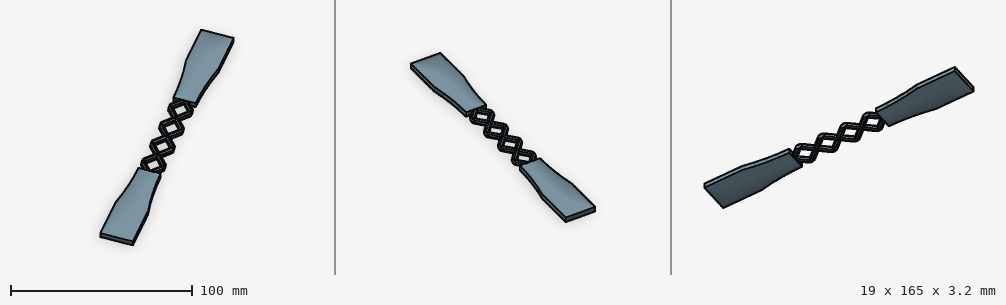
import cadquery as cq
import math

overall_length = 165.0
thickness = 3.2
grip_width = 19.0
neck_width = 13.0
grip_spacing = 115.0
lattice_gap = 57.0
shoulder_facets = 4

cell_count = 4
cell_length = 14.82
strut_sides = 8
strut_diameter = thickness

half_length = overall_length / 2
half_grip = grip_width / 2
half_neck = neck_width / 2
half_gap = lattice_gap / 2

shoulder_length = grip_spacing / 2 - half_gap
shoulder_rise = half_grip - half_neck
shoulder_radius = (shoulder_length**2 + shoulder_rise**2) / (2 * shoulder_rise)
shoulder_sweep = math.asin(shoulder_length / shoulder_radius)


def shoulder_points():
    """Corners of the faceted +X shoulder, from the neck out to the grip."""
    points = []
    for index in range(shoulder_facets + 1):
        angle = shoulder_sweep * index / shoulder_facets
        x = half_neck + shoulder_radius * (1 - math.cos(angle))
        y = half_gap + shoulder_radius * math.sin(angle)
        points.append((x, y))
    return points


def solid_end():
    """Grip tapering to the neck on the +Y side."""
    right_side = shoulder_points() + [(half_grip, half_length)]
    left_side = [(-x, y) for x, y in reversed(right_side)]
    base = cq.Workplane("XY", origin=(0, 0, -thickness / 2))
    return base.polyline(right_side + left_side).close().extrude(thickness)


def strut(node_y, side):
    """Octagonal bar through a node along a cell side, overrunning the neck edges."""
    reach = cq.Vector(side * neck_width, cell_length, 0)
    start = cq.Vector(0, node_y, 0) - reach
    plane = cq.Plane(origin=start.toTuple(), xDir=(0, 0, 1), normal=reach.toTuple())
    section = cq.Workplane(plane).polygon(strut_sides, strut_diameter)
    return section.extrude(2 * reach.Length)


def lattice():
    """Crossed struts at every node, trimmed to the neck width and the gap."""
    struts = cq.Workplane("XY")
    for index in range(cell_count + 1):
        node_y = (index - cell_count / 2) * cell_length
        for side in (-1, 1):
            struts = struts.union(strut(node_y, side))
    envelope = cq.Workplane("XY").box(neck_width, lattice_gap, thickness)
    return struts.intersect(envelope)


upper_end = solid_end()
lower_end = upper_end.mirror("XZ")
result = upper_end.union(lower_end).union(lattice())